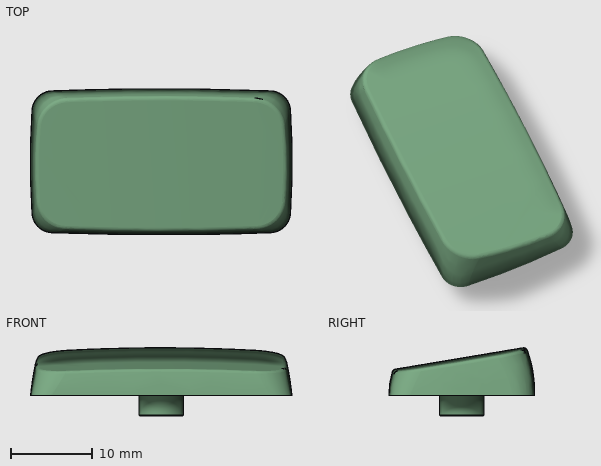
import cadquery as cq

length = 32.25
width = 18.0
top_height = 4.65
top_tilt = 9.5
crown_radius = 241.88
top_edge_radius = 0.5

post_diameter = 5.5
post_length = 2.48
post_chamfer = 0.13

upper_height = 5.15
upper_half_length = 15.2
upper_front = -8.4
upper_back = 7.85

middle_half_length = 15.75
middle_front = -8.85
middle_back = 8.75

base_bulges = (0.4, 0.35)
base_corner_radius = 2.58
middle_bulges = (0.55, 0.45)
upper_bulges = (0.7, 0.58)
upper_corner_radius = 4.2
middle_corner_radius = (base_corner_radius + upper_corner_radius) / 2


def section(height, tilt, half_length, front, back, bulges, corner_radius):
    """Rounded rectangle with four bowed sides, tilted about X."""
    end_bulge, side_bulge = bulges
    x = half_length - end_bulge
    y_front = front + side_bulge
    y_back = back - side_bulge
    y_middle = (front + back) / 2
    outline = (
        cq.Workplane("XY")
        .moveTo(-x, y_front)
        .threePointArc((0, front), (x, y_front))
        .threePointArc((half_length, y_middle), (x, y_back))
        .threePointArc((0, back), (-x, y_back))
        .threePointArc((-half_length, y_middle), (-x, y_front))
        .close()
        .val()
    )
    rounded = outline.fillet2D(corner_radius, outline.Vertices())
    tilted = rounded.rotate(cq.Vector(0, 0, 0), cq.Vector(1, 0, 0), tilt)
    return tilted.translate(cq.Vector(0, 0, height))


def flared_body():
    """Body whose sections shrink and tilt progressively towards the top."""
    base = section(0, 0, length / 2, -width / 2, width / 2, base_bulges, base_corner_radius)
    middle = section(
        upper_height / 2, top_tilt / 2, middle_half_length, middle_front, middle_back,
        middle_bulges, middle_corner_radius,
    )
    upper = section(
        upper_height, top_tilt, upper_half_length, upper_front, upper_back,
        upper_bulges, upper_corner_radius,
    )
    return cq.Workplane(obj=cq.Solid.makeLoft([base, middle, upper]))


def crown_envelope():
    """Tilted cylinder whose upper surface is the crowned top."""
    return (
        cq.Workplane("XZ")
        .center(0, -crown_radius)
        .circle(crown_radius)
        .extrude(width, both=True)
        .rotate((0, 0, 0), (1, 0, 0), top_tilt)
        .translate((0, 0, top_height))
    )


def post():
    return (
        cq.Workplane("XY")
        .circle(post_diameter / 2)
        .extrude(-post_length)
        .faces("<Z")
        .chamfer(post_chamfer)
    )


cap = flared_body().intersect(crown_envelope())
cap = cap.faces(">Z").edges().fillet(top_edge_radius)
result = cap.union(post())